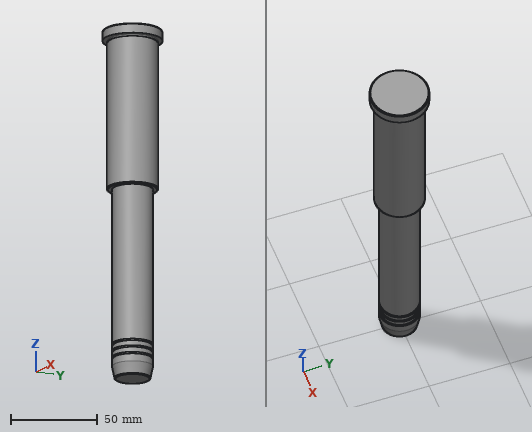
import cadquery as cq

total_length = 211.0
head_height = 6.0
body_end_depth = 96.2

head_radius = 17.5
body_radius = 15.0
shank_radius = 12.0
tip_radius = 10.5

head_chamfer = 0.6
body_chamfer = 0.6
relief_radius = 0.6
tip_height = 7.5
tip_chamfer = 0.6

groove_count = 3
lowest_groove_height = 12.5
groove_pitch = 4.0
groove_radius = 0.53

head_bottom = total_length - head_height
body_bottom = total_length - body_end_depth


def cylinder(radius, bottom, top):
    return cq.Workplane("XY").workplane(offset=bottom).circle(radius).extrude(top - bottom)


def round_groove(radius, height, section_radius):
    """Ring of round section, centred on the surface of a cylinder of the given radius."""
    return (
        cq.Workplane("XZ")
        .center(radius, height)
        .circle(section_radius)
        .revolve(360, (-radius, 0), (-radius, 1))
    )


head = cylinder(head_radius, head_bottom, total_length).faces(">Z").edges().chamfer(head_chamfer)
body = cylinder(body_radius, body_bottom, head_bottom).faces("<Z").edges().chamfer(body_chamfer)
shank = cylinder(shank_radius, tip_height, body_bottom)

tip = (
    cq.Workplane("XZ")
    .lineTo(tip_radius - tip_chamfer, 0)
    .lineTo(tip_radius, tip_chamfer)
    .lineTo(shank_radius, tip_height)
    .lineTo(0, tip_height)
    .close()
    .revolve(360, (0, 0), (0, 1))
)

result = head.union(body).union(shank).union(tip)

result = result.cut(round_groove(body_radius, head_bottom - relief_radius, relief_radius))

for index in range(groove_count):
    groove_height = lowest_groove_height + index * groove_pitch
    result = result.cut(round_groove(shank_radius, groove_height, groove_radius))